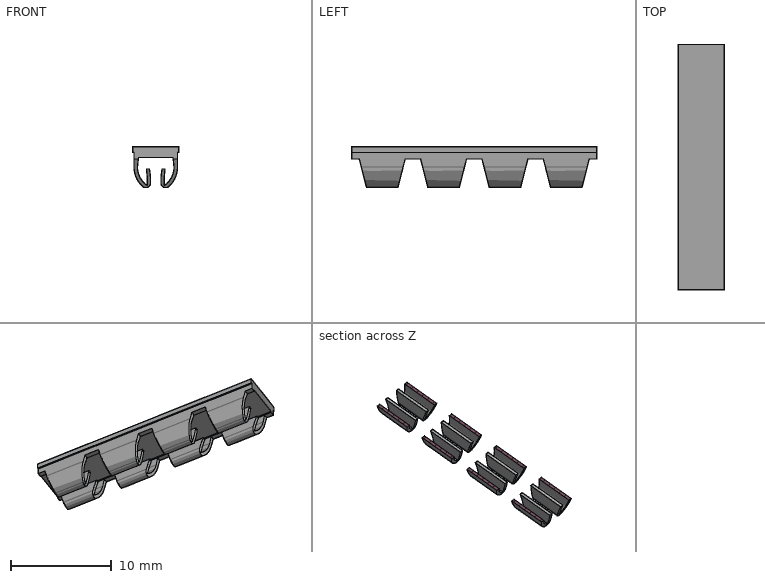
import cadquery as cq
import math

length = 24.4
height = 4.1
flange_width = 4.6
flange_thickness = 0.59
body_width = 4.35
bar_depth = 1.25
channel_width = 3.42
channel_depth = 1.1

clip_count = 4
clip_root_length = 4.59
clip_tip_length = 3.12
arm_thickness = 0.37
arm_bend_depth = 2.05
arm_radius = 2.59
curl_radius = 0.5
lip_depth = 2.22
lip_thickness = 0.32
lip_lean = 0.12
lip_bow_z = 1.17
lip_bow = 0.02
lip_root_thickness = 0.37

clip_pitch = length / clip_count
bar_bottom_z = height - bar_depth
channel_roof_z = height - channel_depth
bend_z = height - arm_bend_depth
lip_top_z = height - lip_depth
half_body = body_width / 2
half_channel = channel_width / 2

arm_center_x = half_body - arm_radius
curl_drop = bend_z - curl_radius
curl_offset = math.sqrt((arm_radius - curl_radius) ** 2 - curl_drop**2)
curl_x = arm_center_x + curl_offset
arm_end_angle = math.atan2(curl_drop, curl_offset)


def arm_point(radius, angle):
    """Point on an arm circle, with the angle measured downwards from +X."""
    x = arm_center_x + radius * math.cos(angle)
    z = bend_z - radius * math.sin(angle)
    return (x, z)


def box_below_top(width, depth):
    """Full-length block hanging down from the top face."""
    block = cq.Workplane("XY").box(width, length, depth, centered=(True, True, False))
    return block.translate((0, 0, height - depth))


def right_arm():
    """Curled arm on the +X side, full length, including the channel side wall."""
    inner_radius = arm_radius - arm_thickness
    lip_face_x = curl_x - curl_radius
    lip_back_x = lip_face_x + lip_root_thickness
    lip_end_x = lip_face_x + lip_lean
    crease_angle = math.acos((lip_back_x - arm_center_x) / inner_radius)
    profile = (
        cq.Workplane("XZ", origin=(0, length / 2, 0))
        .moveTo(half_channel, channel_roof_z)
        .lineTo(half_body, channel_roof_z)
        .lineTo(half_body, bend_z)
        .threePointArc(arm_point(arm_radius, arm_end_angle / 2), arm_point(arm_radius, arm_end_angle))
        .threePointArc((curl_x, 0), (lip_face_x, curl_radius))
        .threePointArc((lip_face_x + lip_bow, lip_bow_z), (lip_end_x, lip_top_z))
        .lineTo(lip_end_x + lip_thickness, lip_top_z)
        .threePointArc((lip_back_x, lip_bow_z), arm_point(inner_radius, crease_angle))
        .threePointArc(arm_point(inner_radius, crease_angle / 2), arm_point(inner_radius, 0))
        .close()
    )
    return profile.extrude(length)


def clip_envelope(y):
    """Tapered block that sets the extent of one pair of arms along the bar."""
    half_root = clip_root_length / 2
    half_tip = clip_tip_length / 2
    outline = [
        (y - half_tip, 0),
        (y + half_tip, 0),
        (y + half_root, bar_bottom_z),
        (y - half_root, bar_bottom_z),
    ]
    return cq.Workplane("YZ").polyline(outline).close().extrude(half_body, both=True)


flange = box_below_top(flange_width, flange_thickness)
body = box_below_top(body_width, bar_depth)
channel = box_below_top(channel_width, bar_depth).translate((0, 0, -channel_depth))

arm = right_arm()
arms = arm.union(arm.mirror("YZ"))
envelopes = box_below_top(body_width, bar_depth)
for index in range(clip_count):
    clip_y = (index - (clip_count - 1) / 2) * clip_pitch
    envelopes = envelopes.union(clip_envelope(clip_y))

result = flange.union(body).cut(channel).union(arms.intersect(envelopes)).clean()